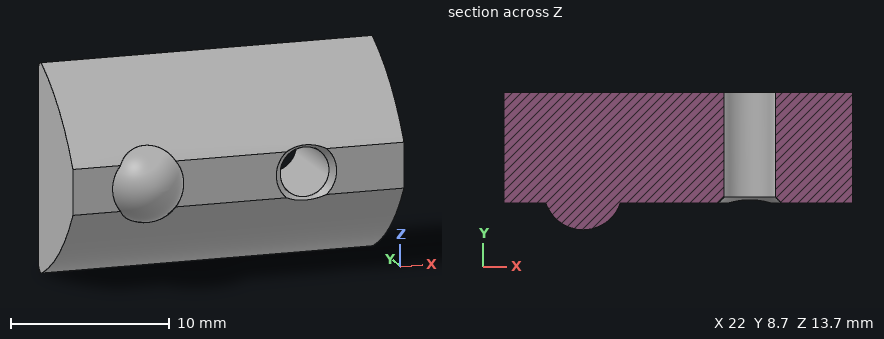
import cadquery as cq
import math

length = 22.0
height = 13.7
body_depth = 7.0
nose_height = 3.0
corner_radius = 0.5
flank_radius = 14.0

ball_diameter = 5.0
ball_x = 5.0
ball_projection = 1.7

hole_diameter = 3.23
hole_x = 15.5
countersink_diameter = 4.0

nose_z = nose_height / 2
corner_y = body_depth - corner_radius
corner_z = height / 2 - corner_radius


def flank_centre():
    """Centre (y, z) of the upper flank arc, through the nose edge and tangent to the corner round."""
    gap_y = corner_y
    gap_z = corner_z - nose_z
    gap = math.hypot(gap_y, gap_z)
    inner_radius = flank_radius - corner_radius
    along = (flank_radius**2 - inner_radius**2 + gap**2) / (2 * gap)
    across = math.sqrt(flank_radius**2 - along**2)
    y = (along * gap_y + across * gap_z) / gap
    z = nose_z + (along * gap_z - across * gap_y) / gap
    return y, z


def point_at(centre, radius, angle):
    return centre[0] + radius * math.cos(angle), centre[1] + radius * math.sin(angle)


def mirrored(point):
    return point[0], -point[1]


def make_body():
    centre = flank_centre()
    corner = (corner_y, corner_z)
    nose_edge = (0, nose_z)
    nose_angle = math.atan2(nose_z - centre[1], -centre[0])
    tangent_angle = math.atan2(corner_z - centre[1], corner_y - centre[0])
    flank_end = point_at(corner, corner_radius, tangent_angle)
    flank_middle = point_at(centre, flank_radius, (nose_angle + tangent_angle) / 2)
    corner_middle = point_at(corner, corner_radius, tangent_angle / 2)
    back_edge = (body_depth, corner_z)
    return (
        cq.Workplane("YZ")
        .moveTo(*mirrored(nose_edge))
        .lineTo(*nose_edge)
        .threePointArc(flank_middle, flank_end)
        .threePointArc(corner_middle, back_edge)
        .lineTo(*mirrored(back_edge))
        .threePointArc(mirrored(corner_middle), mirrored(flank_end))
        .threePointArc(mirrored(flank_middle), mirrored(nose_edge))
        .close()
        .extrude(length)
    )


def make_ball():
    ball_radius = ball_diameter / 2
    ball_y = ball_radius - ball_projection
    return cq.Workplane("XZ").sphere(ball_radius).translate((ball_x, ball_y, 0))


def make_hole():
    """Through hole and countersink as one revolved cutter about an axis along Y."""
    hole_radius = hole_diameter / 2
    countersink_radius = countersink_diameter / 2
    countersink_depth = countersink_radius - hole_radius
    return (
        cq.Workplane("XY")
        .moveTo(0, 0)
        .lineTo(countersink_radius, 0)
        .lineTo(hole_radius, countersink_depth)
        .lineTo(hole_radius, body_depth)
        .lineTo(0, body_depth)
        .close()
        .revolve(360, (0, 0), (0, 1))
        .translate((hole_x, 0, 0))
    )


result = make_body().cut(make_hole()).union(make_ball())